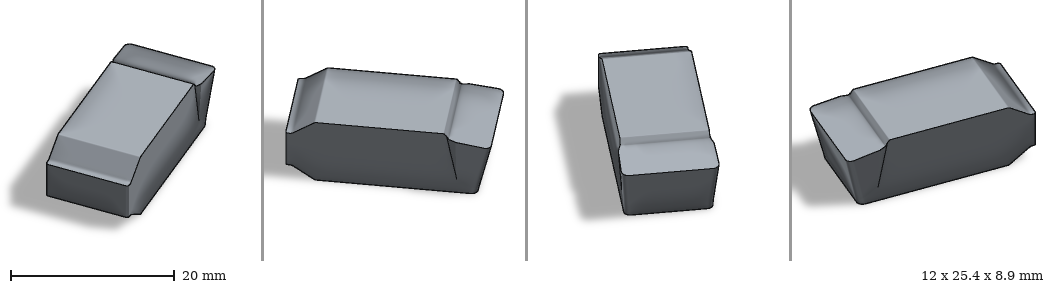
import cadquery as cq
import math

length = 25.4
height = 8.9
body_width = 11.05
half_body = body_width / 2

tip_height = 7.5
front_foot_y = 23.67
rake_angle = 7.0
rake_end_y = 20.2
rake_end_z = tip_height + (length - rake_end_y) * math.tan(math.radians(rake_angle))
ramp_top_y = 19.58
ramp_radius = 0.25
tip_corner_radius = 0.81

tail_step = 2.0
tail_neck_y = 0.75
tail_shoulder_y = 3.65
neck_radius = 0.9
shoulder_radius = 0.43
tail_corner_radius = 0.33

cheek_corner = (21.13, 2.1)
cheek_lower = (23.05, 0.95)
cheek_rear = (19.9, 8.53)
cheek_ridge = (21.05, 8.23)
cheek_overhang = 0.4
cheek_root = 3.0
cheek_reach = 10.0


def side_profile(width):
    """Solid with the side outline of the insert, centred on X = 0."""
    outline = [
        (0, tail_step),
        (tail_neck_y, tail_step),
        (tail_shoulder_y, 0),
        (front_foot_y, 0),
        (length, tip_height),
        (rake_end_y, rake_end_z),
        (ramp_top_y, height),
        (tail_shoulder_y, height),
        (tail_neck_y, height - tail_step),
        (0, height - tail_step),
    ]
    solid = cq.Workplane("YZ").polyline(outline).close().extrude(width / 2, both=True)
    rounded_edges = [
        (tail_neck_y, tail_step, neck_radius),
        (tail_shoulder_y, 0, shoulder_radius),
        (rake_end_y, rake_end_z, ramp_radius),
        (ramp_top_y, height, ramp_radius),
        (tail_shoulder_y, height, shoulder_radius),
        (tail_neck_y, height - tail_step, neck_radius),
    ]
    for y, z, radius in rounded_edges:
        solid = solid.edges(cq.NearestToPointSelector((0, y, z))).fillet(radius)
    return solid


def cheek_wedge():
    """Three-sided wedge rooted in the +X body side, opening up and forward from its corner."""
    corner = cq.Vector(half_body, *cheek_corner)

    def stretched(x, place):
        return corner + (cq.Vector(x, *place) - corner) * cheek_reach

    lower = stretched(half_body, cheek_lower)
    rear = stretched(half_body, cheek_rear)
    ridge = stretched(half_body + cheek_overhang, cheek_ridge)
    triangles = [
        (corner, lower, rear),
        (corner, lower, ridge),
        (corner, rear, ridge),
        (lower, rear, ridge),
    ]
    faces = [cq.Face.makeFromWires(cq.Wire.makePolygon(t, close=True)) for t in triangles]
    wedge = cq.Workplane(cq.Solid.makeSolid(cq.Shell.makeShell(faces)))
    ridge_step = cq.Vector(half_body + cheek_overhang, *cheek_ridge) - corner
    return wedge.translate(ridge_step * -cheek_root)



body = side_profile(body_width).faces("<Y").edges("|Z").fillet(tail_corner_radius)
front_middle_y = (front_foot_y + length) / 2
for side in (-half_body, half_body):
    front_edge = cq.NearestToPointSelector((side, front_middle_y, tip_height / 2))
    body = body.edges(front_edge).fillet(tip_corner_radius)

cheek = side_profile(2 * body_width).intersect(cheek_wedge())
cheek_front_edge = cq.NearestToPointSelector(
    (half_body + cheek_overhang / 2, front_middle_y, tip_height / 2)
)
cheek = cheek.edges(cheek_front_edge).fillet(tip_corner_radius)
result = body.union(cheek).union(cheek.mirror("YZ"))